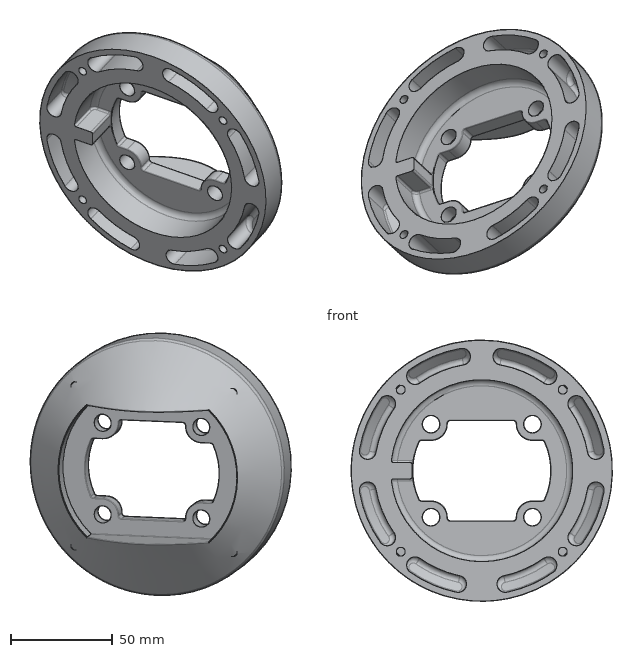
import cadquery as cq
import math

OUTER_RADIUS = 64.5
CORNER_Y = 16.1
CORNER_FILLET = 3.1
CONE_SUM = OUTER_RADIUS + CORNER_Y
EDGE_FILLET = 0.3

PLATE_FRONT_Y = 18.0
PLATE_BACK_Y = 26.3

CUP_RADIUS = 44.9
CUP_FLOOR_FILLET = 3.0

RIB_HALF_WIDTH = 4.0
RIB_END_RADIUS = 34.3
RIB_END_FILLET = 1.0
RIB_ROOT_FILLET = 1.0
RIB_EMBED = 1.3

POCKET_RADIUS = 45.2
POCKET_HALF_HEIGHT = 33.0

SCREW_X = 25.0
SCREW_Z = 23.0
SCREW_RADIUS = 4.3
BOSS_RADIUS = 8.0
OPENING_RADIUS = 34.0
OPENING_HALF_HEIGHT = 24.8
OPENING_CORNER_FILLET = 1.5

PIN_OFFSET = 40.0
PIN_RADIUS = 2.2
PIN_DEPTH = 22.2

SLOT_COUNT = 8
SLOT_PITCH = 360 / SLOT_COUNT
SLOT_RADIUS = 57.1
SLOT_HALF_WIDTH = 4.1
SLOT_FLOOR_FILLET = 1.9
SLOT_FLOOR_DROP = 4.3
SLOT_START_ANGLE = 9.8
SHORT_SLOT_LOSS = 2.0
SLOT_BEFORE_BOTTOM = 5
SLOT_AFTER_BOTTOM = 6

CUT_LENGTH = 2 * OUTER_RADIUS
MARGIN = 0.1


def front_plane(y):
    """Workplane at the given Y, with local x along X and local y along Z."""
    return cq.Workplane("XZ", origin=(0, y, 0))


def revolved_cone(radius, cone_sum):
    """Cylinder of this radius from Y = 0, closed by a cone with radius + Y = cone_sum."""
    profile = cq.Workplane("YZ").lineTo(0, radius).lineTo(cone_sum - radius, radius).lineTo(cone_sum, 0)
    return profile.close().revolve(360, (0, 0, 0), (1, 0, 0))


def box_edges(part, half_size, y_from, y_to):
    """Edges lying wholly inside a box that is centred on the Y axis."""
    low = (-half_size, y_from - MARGIN, -half_size)
    high = (half_size, y_to + MARGIN, half_size)
    return part.edges(cq.selectors.BoxSelector(low, high, boundingbox=True))


def polar(radius, angle):
    """Point at this radius and angle in degrees."""
    return radius * math.cos(math.radians(angle)), radius * math.sin(math.radians(angle))


def corner_points(x, z):
    """Four points at plus and minus x and z."""
    return front_plane(0).rect(2 * x, 2 * z, forConstruction=True).vertices()


def make_blank():
    blank = revolved_cone(OUTER_RADIUS, CONE_SUM)
    corner = box_edges(blank, OUTER_RADIUS + MARGIN, CORNER_Y, CORNER_Y)
    return corner.fillet(CORNER_FILLET)


def cut_rear_pocket(part):
    """The pocket leaves two pointed walls above and below it, with rounded edges."""
    pocket = front_plane(PLATE_BACK_Y).circle(POCKET_RADIUS).extrude(-CUT_LENGTH)
    flats = front_plane(PLATE_BACK_Y).rect(CUT_LENGTH, 2 * POCKET_HALF_HEIGHT).extrude(-CUT_LENGTH)
    part = part.cut(pocket.intersect(flats))
    rim_y = CONE_SUM - POCKET_RADIUS
    return box_edges(part, OUTER_RADIUS, rim_y, CONE_SUM).fillet(EDGE_FILLET)


def cut_cup(part):
    cup = front_plane(0).circle(CUP_RADIUS).extrude(-PLATE_FRONT_Y)
    return part.cut(cup.faces(">Y").edges().fillet(CUP_FLOOR_FILLET))


def make_opening():
    """Circle with two flats, less the four screw bosses and the corners behind them."""
    opening = front_plane(0).circle(OPENING_RADIUS).extrude(-CUT_LENGTH)
    flats = front_plane(0).rect(CUT_LENGTH, 2 * OPENING_HALF_HEIGHT).extrude(-CUT_LENGTH)
    opening = opening.intersect(flats)
    opening = opening.cut(corner_points(SCREW_X, SCREW_Z).circle(BOSS_RADIUS).extrude(-CUT_LENGTH))
    boss_width = 2 * BOSS_RADIUS
    beside_bosses = corner_points(SCREW_X + BOSS_RADIUS, SCREW_Z)
    opening = opening.cut(beside_bosses.rect(boss_width, boss_width).extrude(-CUT_LENGTH))
    beyond_bosses = corner_points(SCREW_X, SCREW_Z + BOSS_RADIUS)
    opening = opening.cut(beyond_bosses.rect(boss_width, boss_width).extrude(-CUT_LENGTH))

    opening = opening.faces("<Z or >Z").edges("|Y").fillet(OPENING_CORNER_FILLET)
    arc_corner_x = math.sqrt(OPENING_RADIUS ** 2 - (SCREW_Z - BOSS_RADIUS) ** 2)
    arc_corners = opening.edges("|Y").filter(lambda edge: abs(abs(edge.Center().x) - arc_corner_x) < MARGIN)
    return arc_corners.fillet(OPENING_CORNER_FILLET)


def cut_opening(part):
    part = part.cut(make_opening())
    for y in (PLATE_FRONT_Y, PLATE_BACK_Y):
        part = box_edges(part, OPENING_RADIUS + MARGIN, y, y).fillet(EDGE_FILLET)
    return part


def is_rib_root(edge):
    """True for an edge along Y where a side of the rib meets the cup wall."""
    center = edge.Center()
    on_rib_side = abs(abs(center.z) - RIB_HALF_WIDTH) < MARGIN
    near_cup_wall = -CUP_RADIUS - RIB_EMBED < center.x < -CUP_RADIUS + RIB_EMBED
    return on_rib_side and near_cup_wall


def add_rib(part):
    rib_start = CUP_RADIUS + RIB_EMBED
    rib = front_plane(0).center(-(rib_start + RIB_END_RADIUS) / 2, 0)
    rib = rib.rect(rib_start - RIB_END_RADIUS, 2 * RIB_HALF_WIDTH).extrude(-PLATE_FRONT_Y)
    rib = rib.edges("|Y and >X").fillet(RIB_END_FILLET)
    part = part.union(rib)
    return part.edges("|Y").filter(is_rib_root).fillet(RIB_ROOT_FILLET)


def cut_holes(part):
    part = part.cut(corner_points(SCREW_X, SCREW_Z).circle(SCREW_RADIUS).extrude(-CUT_LENGTH))
    return part.cut(corner_points(PIN_OFFSET, PIN_OFFSET).circle(PIN_RADIUS).extrude(-PIN_DEPTH))


def make_slot(start, end):
    """Slot cutter: a smaller core grown by the floor fillet, which rounds the floor edges."""
    core_half_width = SLOT_HALF_WIDTH - SLOT_FLOOR_FILLET
    inner = SLOT_RADIUS - core_half_width
    outer = SLOT_RADIUS + core_half_width
    middle = (start + end) / 2
    core = (
        front_plane(0)
        .moveTo(*polar(outer, start))
        .threePointArc(polar(outer, middle), polar(outer, end))
        .tangentArcPoint(polar(inner, end), relative=False)
        .threePointArc(polar(inner, middle), polar(inner, start))
        .tangentArcPoint(polar(outer, start), relative=False)
        .close()
        .extrude(-CUT_LENGTH)
    )
    core_sum = CONE_SUM - SLOT_FLOOR_DROP - SLOT_FLOOR_FILLET * math.sqrt(2)
    core = core.intersect(revolved_cone(OUTER_RADIUS, core_sum))
    return core.union(core.faces("<Y").shell(SLOT_FLOOR_FILLET, kind="arc"))


def cut_slots(part):
    for index in range(SLOT_COUNT):
        start = SLOT_PITCH * index + SLOT_START_ANGLE
        end = SLOT_PITCH * (index + 1) - SLOT_START_ANGLE
        if index == SLOT_BEFORE_BOTTOM:
            end -= SHORT_SLOT_LOSS
        if index == SLOT_AFTER_BOTTOM:
            start += SHORT_SLOT_LOSS
        part = part.cut(make_slot(start, end))
    return part


def make_housing():
    housing = make_blank()
    housing = cut_rear_pocket(housing)
    housing = cut_cup(housing)
    housing = cut_opening(housing)
    housing = add_rib(housing)
    housing = cut_holes(housing)
    return cut_slots(housing)


housing = make_housing()
result = cq.Compound.makeCompound([housing.val()])